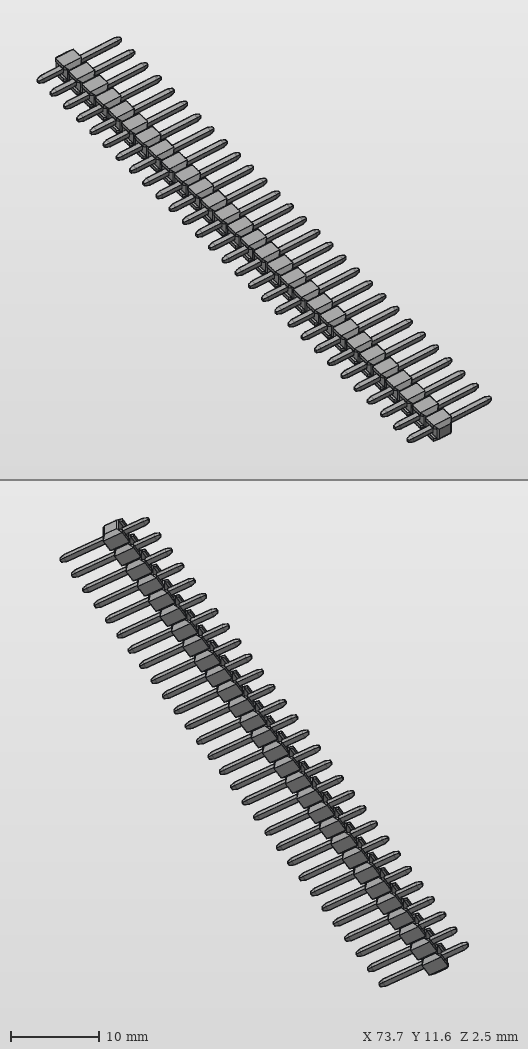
import cadquery as cq

row_length = 73.65
pin_count = 29
pitch = row_length / pin_count

housing_depth = 2.5
housing_height = 2.5
corner_chamfer = 0.47

channel_depth = 0.3
channel_height = 1.5

pin_width = 0.64
tip_width = 0.4
tip_length = 0.6
pin_length = 11.6
front_reach = 3.0

housing_front = 0.0
pin_front = housing_front - front_reach
pin_back = pin_front + pin_length


def make_housing_cell(x):
    """Block whose two X ends are chamfered on all four sides."""
    return (
        cq.Workplane("XY")
        .box(pitch, housing_depth, housing_height)
        .faces("<X or >X")
        .chamfer(corner_chamfer)
        .translate((x, housing_front + housing_depth / 2, 0))
    )


def make_tip(x, y_base, y_direction):
    """Pyramid frustum narrowing from the pin section to the blunt pin end."""
    base_plane = cq.Plane(origin=(x, y_base, 0), xDir=(1, 0, 0), normal=(0, y_direction, 0))
    return (
        cq.Workplane(base_plane)
        .rect(pin_width, pin_width)
        .workplane(offset=tip_length)
        .rect(tip_width, tip_width)
        .loft(ruled=True)
    )


def make_pin(x):
    """Square pin with a tapered tip at both ends."""
    shank_front = pin_front + tip_length
    shank_back = pin_back - tip_length
    shank = (
        cq.Workplane("XY")
        .box(pin_width, shank_back - shank_front, pin_width)
        .translate((x, (shank_front + shank_back) / 2, 0))
    )
    front_tip = make_tip(x, shank_front, -1)
    back_tip = make_tip(x, shank_back, 1)
    return shank.union(front_tip).union(back_tip)


cell_centers = [(i - (pin_count - 1) / 2) * pitch for i in range(pin_count)]

channel = (
    cq.Workplane("XY")
    .box(row_length, channel_depth, channel_height)
    .translate((0, housing_front + channel_depth / 2, 0))
)

cells = [make_housing_cell(x).val() for x in cell_centers]
pins = [make_pin(x).val() for x in cell_centers]
housing = cells[0].fuse(*cells[1:]).cut(channel.val())
header = housing.fuse(*pins)

result = cq.Workplane("XY").newObject(header.Solids())